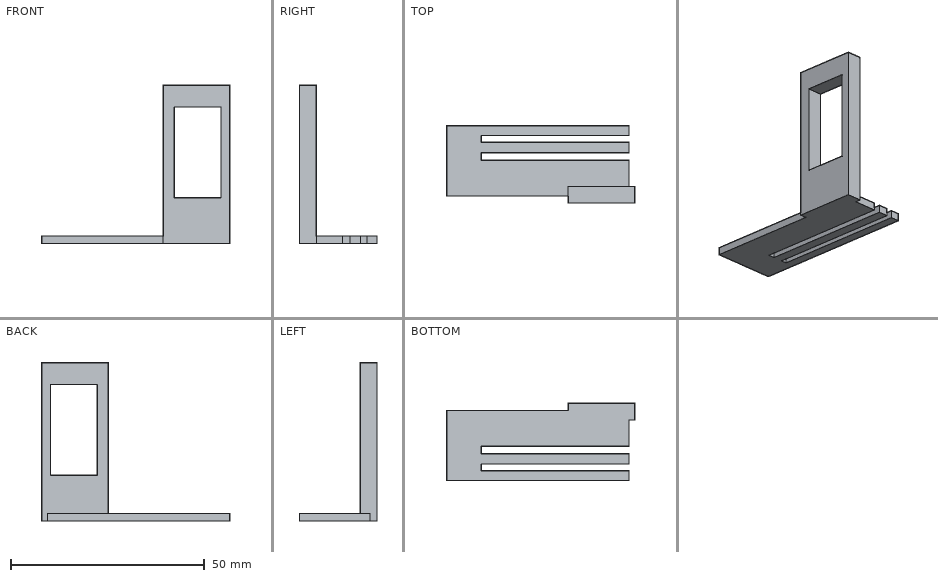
import cadquery as cq

total_length = 48.58
total_depth = 20.01
total_height = 40.89

base_length = 47.05
base_depth = 18.15
base_thickness = 2.02

slot_start = 8.95
rear_finger_width = 2.6
rear_slot_width = 1.65
middle_finger_width = 2.77
front_slot_width = 1.87

frame_width = 17.22
frame_thickness = 4.35
window_width = 11.95
window_height = 23.33
window_left_wall = 2.92
window_sill = 11.89

frame_left = total_length - frame_width
base_front = total_depth - base_depth
slot_length = base_length - slot_start
rear_slot_front = total_depth - rear_finger_width - rear_slot_width
front_slot_front = rear_slot_front - middle_finger_width - front_slot_width


def block(x, y, z, length, depth, height):
    """Box whose minimum corner is at (x, y, z)."""
    return cq.Workplane("XY").box(length, depth, height, centered=False).translate((x, y, z))


def make_base():
    """Flat plate split into three fingers by two open-ended slots."""
    base = block(0, base_front, 0, base_length, base_depth, base_thickness)
    slots = ((rear_slot_front, rear_slot_width), (front_slot_front, front_slot_width))
    for slot_front, slot_width in slots:
        base = base.cut(block(slot_start, slot_front, 0, slot_length, slot_width, base_thickness))
    return base


def make_frame():
    """Upright slab with a rectangular window through its thickness."""
    frame = block(frame_left, 0, 0, frame_width, frame_thickness, total_height)
    window_left = frame_left + window_left_wall
    window = block(window_left, 0, window_sill, window_width, frame_thickness, window_height)
    return frame.cut(window)


result = make_base().union(make_frame())